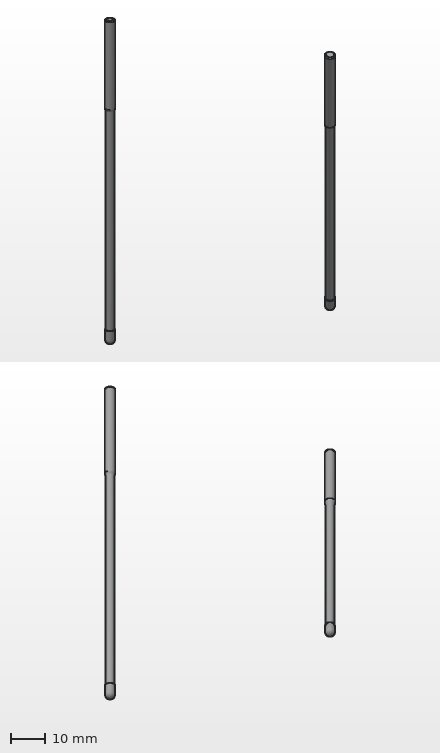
import cadquery as cq
import math

overall_length = 101.6
shank_diameter = 3.175
shank_length = 27.8
shank_chamfer = 0.4
neck_diameter = 2.7
neck_taper_length = 0.75
cutter_diameter = 3.0
cutter_length = 1.5 * cutter_diameter

shank_radius = shank_diameter / 2
neck_radius = neck_diameter / 2
cutter_radius = cutter_diameter / 2
shank_bottom = overall_length - shank_length
neck_top = shank_bottom - neck_taper_length
neck_flare = cutter_radius - neck_radius
neck_bottom = cutter_length + neck_flare


def revolve_profile(profile):
    """Close a radius-height outline and turn it around the Z axis."""
    return profile.close().revolve(360, (0, 0, 0), (0, 1, 0))


def make_shank():
    """Shank with a chamfered end, tapering to a slim neck that flares out to meet the cutter."""
    profile = (
        cq.Workplane("XZ")
        .moveTo(0, cutter_length)
        .lineTo(cutter_radius, cutter_length)
        .lineTo(neck_radius, neck_bottom)
        .lineTo(neck_radius, neck_top)
        .lineTo(shank_radius, shank_bottom)
        .lineTo(shank_radius, overall_length - shank_chamfer)
        .lineTo(shank_radius - shank_chamfer, overall_length)
        .lineTo(0, overall_length)
    )
    return revolve_profile(profile)


def make_cutter():
    """Cutting head: a short cylinder ending in a hemispherical ball nose."""
    arc_middle = cutter_radius * math.sin(math.radians(45))
    profile = (
        cq.Workplane("XZ")
        .moveTo(0, 0)
        .threePointArc((arc_middle, cutter_radius - arc_middle), (cutter_radius, cutter_radius))
        .lineTo(cutter_radius, cutter_length)
        .lineTo(0, cutter_length)
    )
    return revolve_profile(profile)


shank = make_shank()
cutter = make_cutter()

result = cq.Compound.makeCompound([shank.val(), cutter.val()])